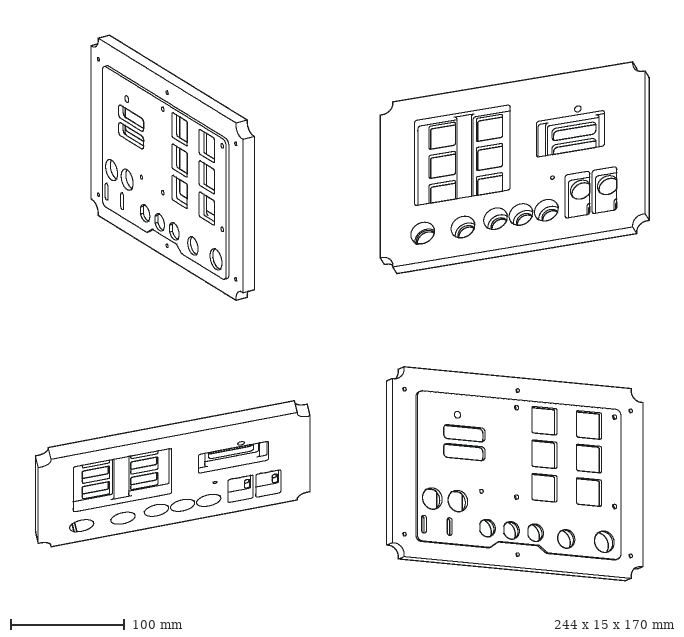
import cadquery as cq

BASE_WIDTH = 244.0
BASE_HEIGHT = 170.0
TOTAL_DEPTH = 15.0
PANEL_PROUD = 3.0

PANEL_WALL = 5.0
SEAT_WALL = 3.0
STEP_WALL = 9.8

FRONT_Y = -TOTAL_DEPTH / 2
BACK_Y = TOTAL_DEPTH / 2
BASE_FRONT_Y = FRONT_Y + PANEL_PROUD
PANEL_BACK_Y = FRONT_Y + PANEL_WALL
SEAT_Y = FRONT_Y + SEAT_WALL
STEP_Y = FRONT_Y + STEP_WALL

NOTCH_SIZE = 11.5
NOTCH_RADIUS = 9.5
SCREW_DIAMETER = 3.2
BLIND_DEPTH = 5.0
CORNER_SCREW_X = 110.0
CORNER_SCREW_Z = 65.0
MIDDLE_SCREW_Z = 73.5

PANEL_HALF_WIDTH = 99.0
PANEL_TOP_Z = 64.5
PANEL_BOTTOM_Z = -70.0
PANEL_RADIUS = 5.4
RELIEF_DEPTH = 6.0
RELIEF_OUTER_HALF = 27.8
RELIEF_INNER_HALF = 19.5

WINDOW_WIDTH = 24.2
WINDOW_HEIGHT = 23.7
WINDOW_RADIUS = 1.5
WINDOW_COLUMNS = (24.6, 68.0)
WINDOW_MIDDLE_Z = 18.0
WINDOW_PITCH_Z = 30.0
MOUNT_DIAMETER = 4.0
MOUNT_COLUMNS = (-2.5, 93.0)
MOUNT_ROWS = (-22.7, 57.3)

CONNECTOR_X = -53.2
CONNECTOR_ROWS = (30.0, 13.2)
CONNECTOR_WIDTH = 40.3
CONNECTOR_HEIGHT = 12.5
CONNECTOR_RADIUS = 3.7
PLUG_X = -60.0
PLUG_Z = 45.9
PLUG_DIAMETER = 6.0

SOCKET_COLUMNS = (-84.5, -59.5)
SOCKET_Z = -31.2
SOCKET_DIAMETER = 19.0
SLIT_OFFSET_X = -8.0
SLIT_Z = -55.0
SLIT_LENGTH = 15.9
SLIT_WIDTH = 4.5

JACK_COLUMNS = (-31.0, -7.5, 15.9)
JACK_Z = -53.0
JACK_DIAMETER = 15.5
JACK_FLAT = 7.0

PIN_HOLE_X = -36.5
PIN_HOLE_Z = -20.5
PIN_HOLE_DIAMETER = 3.5
SWITCH_X = 45.9
SWITCH_Z = -55.9
SWITCH_DIAMETER = 16.5
DIAL_X = 83.0
DIAL_Z = -55.1
DIAL_DIAMETER = 19.0

POCKET_RADIUS = 2.5
WINDOW_RIB_SETBACK = 3.0
WINDOW_POCKET_SIDE = 10.2
WINDOW_POCKET_END = 2.0
CONNECTOR_STEP_SIDE = 4.5
CONNECTOR_POCKET_SIDE = 11.2
CONNECTOR_POCKET_END = 3.7
SOCKET_POCKET_MARGIN = 1.7
BORE_DIAMETER = 21.7
KEYWAY_WIDTH = 3.0
KEYWAY_DEPTH = 0.7
KEYWAY_ANGLE = -60.0


def plane_at(y):
    """Plane across the depth at the given Y; local x and y are global X and Z."""
    return cq.Workplane("XZ", origin=(0, y, 0))


def disc(x, z, diameter, start_y, end_y):
    return plane_at(start_y).center(x, z).circle(diameter / 2).extrude(start_y - end_y)


def block(x, z, width, height, radius, start_y, end_y):
    """Rounded rectangular prism centred on (x, z)."""
    prism = plane_at(start_y).center(x, z).rect(width, height).extrude(start_y - end_y)
    return prism.edges("|Y").fillet(radius)


def jack_hole(x, start_y, end_y):
    """Round hole cut off by a flat on its -X side."""
    hole = disc(x, JACK_Z, JACK_DIAMETER, start_y, end_y)
    keep = plane_at(start_y).center(x - JACK_FLAT + JACK_DIAMETER / 2, JACK_Z)
    return hole.intersect(keep.rect(JACK_DIAMETER, JACK_DIAMETER).extrude(start_y - end_y))


def make_base():
    base = plane_at(BASE_FRONT_Y).rect(BASE_WIDTH, BASE_HEIGHT).extrude(BASE_FRONT_Y - BACK_Y)
    for side in (-1, 1):
        for end in (-1, 1):
            x = side * BASE_WIDTH / 2
            z = end * BASE_HEIGHT / 2
            notch = block(x, z, 2 * NOTCH_SIZE, 2 * NOTCH_SIZE, NOTCH_RADIUS, BASE_FRONT_Y, BACK_Y)
            base = base.cut(notch)

    screws = []
    for end in (-1, 1):
        screws.append((-CORNER_SCREW_X, end * CORNER_SCREW_Z))
        screws.append((CORNER_SCREW_X, end * CORNER_SCREW_Z))
        screws.append((0, end * MIDDLE_SCREW_Z))
    for x, z in screws:
        base = base.cut(disc(x, z, SCREW_DIAMETER, BASE_FRONT_Y, BASE_FRONT_Y + BLIND_DEPTH))
    return base


def make_raised_panel():
    relief_z = PANEL_BOTTOM_Z + RELIEF_DEPTH
    outline = [
        (-PANEL_HALF_WIDTH, PANEL_TOP_Z),
        (PANEL_HALF_WIDTH, PANEL_TOP_Z),
        (PANEL_HALF_WIDTH, PANEL_BOTTOM_Z),
        (RELIEF_OUTER_HALF, PANEL_BOTTOM_Z),
        (RELIEF_INNER_HALF, relief_z),
        (-RELIEF_INNER_HALF, relief_z),
        (-RELIEF_OUTER_HALF, PANEL_BOTTOM_Z),
        (-PANEL_HALF_WIDTH, PANEL_BOTTOM_Z),
    ]
    prism = plane_at(FRONT_Y).polyline(outline).close().extrude(-PANEL_PROUD)
    return prism.edges("|Y and (<X or >X)").fillet(PANEL_RADIUS)


def cut_windows(housing):
    for x in WINDOW_COLUMNS:
        for step in (-1, 0, 1):
            z = WINDOW_MIDDLE_Z + step * WINDOW_PITCH_Z
            window = block(x, z, WINDOW_WIDTH, WINDOW_HEIGHT, WINDOW_RADIUS, FRONT_Y, PANEL_BACK_Y)
            housing = housing.cut(window)
    for x in MOUNT_COLUMNS:
        for z in MOUNT_ROWS:
            housing = housing.cut(disc(x, z, MOUNT_DIAMETER, FRONT_Y, FRONT_Y + BLIND_DEPTH))

    pocket_height = 2 * WINDOW_PITCH_Z + WINDOW_HEIGHT + 2 * WINDOW_POCKET_END
    pocket_width = WINDOW_COLUMNS[1] - WINDOW_COLUMNS[0] + WINDOW_WIDTH + 2 * WINDOW_POCKET_SIDE
    pocket_x = sum(WINDOW_COLUMNS) / 2
    pocket = block(pocket_x, WINDOW_MIDDLE_Z, pocket_width, pocket_height, POCKET_RADIUS, STEP_Y, BACK_Y)
    housing = housing.cut(pocket)
    bay_width = WINDOW_WIDTH + WINDOW_POCKET_SIDE + WINDOW_RIB_SETBACK
    for side in (-1, 1):
        x = pocket_x + side * (pocket_width - bay_width) / 2
        bay = block(x, WINDOW_MIDDLE_Z, bay_width, pocket_height, POCKET_RADIUS, PANEL_BACK_Y, STEP_Y)
        housing = housing.cut(bay)
    return housing


def cut_connectors(housing):
    for z in CONNECTOR_ROWS:
        slot = block(CONNECTOR_X, z, CONNECTOR_WIDTH, CONNECTOR_HEIGHT, CONNECTOR_RADIUS,
                     FRONT_Y, PANEL_BACK_Y)
        housing = housing.cut(slot)
    height = CONNECTOR_ROWS[0] - CONNECTOR_ROWS[1] + CONNECTOR_HEIGHT + 2 * CONNECTOR_POCKET_END
    middle = sum(CONNECTOR_ROWS) / 2
    step_width = CONNECTOR_WIDTH + 2 * CONNECTOR_STEP_SIDE
    pocket_width = CONNECTOR_WIDTH + 2 * CONNECTOR_POCKET_SIDE
    housing = housing.cut(block(CONNECTOR_X, middle, step_width, height, POCKET_RADIUS, PANEL_BACK_Y, STEP_Y))
    return housing.cut(block(CONNECTOR_X, middle, pocket_width, height, POCKET_RADIUS, STEP_Y, BACK_Y))


def cut_sockets(housing):
    top = SOCKET_Z + SOCKET_DIAMETER / 2 + SOCKET_POCKET_MARGIN
    bottom = SLIT_Z - SLIT_LENGTH / 2 - SOCKET_POCKET_MARGIN
    width = SOCKET_DIAMETER + 2 * SOCKET_POCKET_MARGIN
    for x in SOCKET_COLUMNS:
        housing = housing.cut(disc(x, SOCKET_Z, SOCKET_DIAMETER, FRONT_Y, PANEL_BACK_Y))
        slit = plane_at(FRONT_Y).center(x + SLIT_OFFSET_X, SLIT_Z).slot2D(SLIT_LENGTH, SLIT_WIDTH, 90)
        housing = housing.cut(slit.extrude(-PANEL_WALL))
        pocket = block(x, (top + bottom) / 2, width, top - bottom, POCKET_RADIUS, PANEL_BACK_Y, BACK_Y)
        housing = housing.cut(pocket)
    return housing


def dial_keyway():
    """Narrow groove along the wall of the dial counterbore."""
    reach = BORE_DIAMETER / 2 + KEYWAY_DEPTH
    groove = plane_at(SEAT_Y).center(DIAL_X, DIAL_Z).transformed(rotate=(0, 0, KEYWAY_ANGLE))
    return groove.center(reach / 2, 0).rect(reach, KEYWAY_WIDTH).extrude(SEAT_Y - BACK_Y)


def cut_round_holes(housing):
    for x in JACK_COLUMNS:
        housing = housing.cut(jack_hole(x, FRONT_Y, SEAT_Y))
        housing = housing.cut(disc(x, JACK_Z, BORE_DIAMETER, SEAT_Y, BACK_Y))
    for x, z, diameter in ((SWITCH_X, SWITCH_Z, SWITCH_DIAMETER), (DIAL_X, DIAL_Z, DIAL_DIAMETER)):
        housing = housing.cut(disc(x, z, diameter, FRONT_Y, SEAT_Y))
        housing = housing.cut(disc(x, z, BORE_DIAMETER, SEAT_Y, BACK_Y))
    housing = housing.cut(dial_keyway())
    return housing.cut(disc(PIN_HOLE_X, PIN_HOLE_Z, PIN_HOLE_DIAMETER, FRONT_Y, BACK_Y))


def make_plug():
    return disc(PLUG_X, PLUG_Z, PLUG_DIAMETER, FRONT_Y, BACK_Y)


def make_housing():
    housing = make_base().union(make_raised_panel())
    housing = cut_windows(housing)
    housing = cut_connectors(housing)
    housing = cut_sockets(housing)
    housing = cut_round_holes(housing)
    return housing.cut(make_plug())


housing = make_housing()
plug = make_plug()
result = cq.Compound.makeCompound([housing.val(), plug.val()])